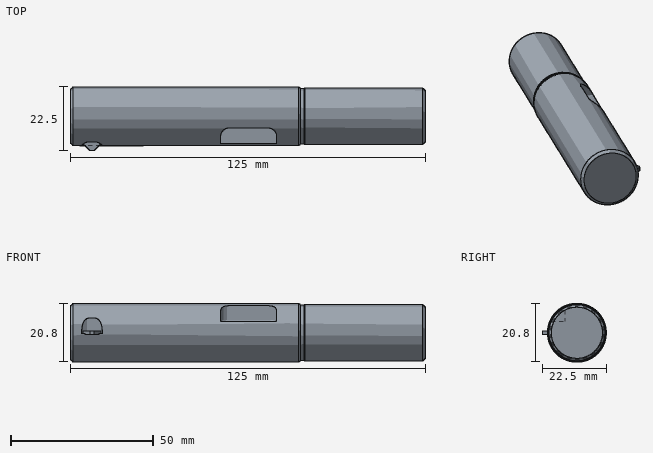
import cadquery as cq

length = 125.0
body_diameter = 20.8
shank_diameter = 20.0
neck_diameter = 19.6
body_end = 80.4
neck_start = 81.0
neck_end = 82.2
shank_start = 82.6
end_chamfer = 1.0
body_radius = body_diameter / 2
shank_radius = shank_diameter / 2
neck_radius = neck_diameter / 2

window_start = 52.9
window_end = 72.6
window_wall_y = -4.1
window_floor_z = 4.0
window_corner_radius = 3.0
window_floor_fillet = 0.4

tooth_center_x = 7.6
tooth_tip_y = -12.1
tooth_root_y = -9.0
tooth_tip_width = 1.5
tooth_thickness = 1.2
pocket_flat_width = 1.9
pocket_corner_radius = 3.4
pocket_floor_z = -0.2

cut_outer_y = -body_diameter


def make_bar():
    """Revolve the stepped bar with chamfered ends and a shallow neck."""
    profile = [
        (0, 0),
        (0, body_radius - end_chamfer),
        (end_chamfer, body_radius),
        (body_end, body_radius),
        (neck_start, neck_radius),
        (neck_end, neck_radius),
        (shank_start, shank_radius),
        (length - end_chamfer, shank_radius),
        (length, shank_radius - end_chamfer),
        (length, 0),
    ]
    return cq.Workplane("XY").polyline(profile).close().revolve(360, (0, 0, 0), (1, 0, 0))


def make_pocket(start_x, end_x, wall_y, floor_z, corner_radius):
    """Cutting block open to -Y and +Z, with rounded corners at its back wall."""
    return (
        cq.Workplane("XY", origin=(0, 0, floor_z))
        .moveTo(start_x, cut_outer_y)
        .lineTo(start_x, wall_y - corner_radius)
        .radiusArc((start_x + corner_radius, wall_y), corner_radius)
        .lineTo(end_x - corner_radius, wall_y)
        .radiusArc((end_x, wall_y - corner_radius), corner_radius)
        .lineTo(end_x, cut_outer_y)
        .close()
        .extrude(body_diameter)
    )


def make_tooth():
    """Flat tooth with 45 degree flanks, seated against the pocket wall."""
    tip_half = tooth_tip_width / 2
    root_half = tip_half + tooth_root_y - tooth_tip_y
    outline = [
        (tooth_center_x - root_half, tooth_root_y),
        (tooth_center_x - tip_half, tooth_tip_y),
        (tooth_center_x + tip_half, tooth_tip_y),
        (tooth_center_x + root_half, tooth_root_y),
    ]
    return (
        cq.Workplane("XY")
        .polyline(outline)
        .close()
        .extrude(tooth_thickness / 2, both=True)
    )


window = make_pocket(window_start, window_end, window_wall_y, window_floor_z, window_corner_radius)
window = window.faces("<Z").edges("not <Y").fillet(window_floor_fillet)
pocket_half_width = pocket_flat_width / 2 + pocket_corner_radius
chip_pocket = make_pocket(
    tooth_center_x - pocket_half_width,
    tooth_center_x + pocket_half_width,
    tooth_root_y,
    pocket_floor_z,
    pocket_corner_radius,
)

result = make_bar().cut(window).cut(chip_pocket).union(make_tooth())